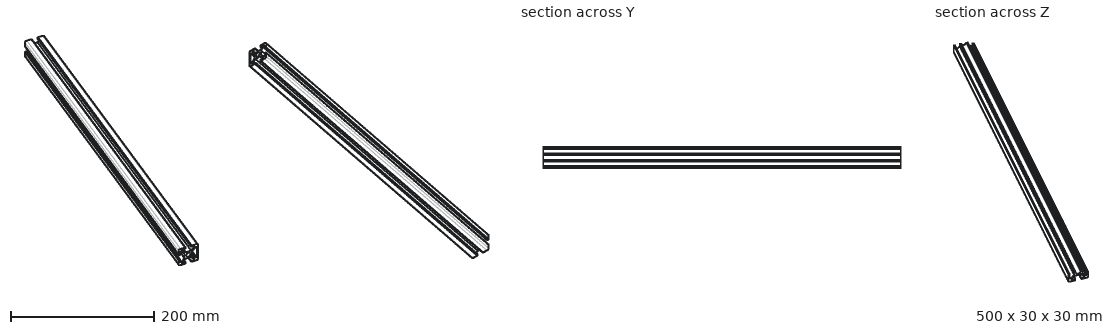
import cadquery as cq
import math

length = 500.0
side = 30.0
corner_radius = 2.75

slot_opening = 8.2
lip_thickness = 2.2
lip_chamfer = 1.0
slot_inner_width = 19.0
slot_depth = 9.0

web_thickness = 2.5
bore_diameter = 6.8

half_side = side / 2
slot_roof = half_side - lip_thickness
slot_floor = half_side - slot_depth
flank_offset = web_thickness / 2 * math.sqrt(2)

open_side_turns = (0, 90, 180)
closed_side_turn = 270


def extrude_outline(outline):
    """Prism along the whole bar from (Y, Z) points."""
    return section_plane().polyline(outline).close().extrude(length)


def section_plane():
    """Plane of the -X end face: local x is Y, local y is Z, normal is +X."""
    return cq.Workplane("YZ").workplane(offset=-length / 2)


def make_bar():
    bar = section_plane().rect(side, side).extrude(length)
    return bar.edges("|X").fillet(corner_radius)


def make_bore():
    return section_plane().circle(bore_diameter / 2).extrude(length)


def make_chamber():
    """Chamber behind the +Z side, tapering down to the core."""
    half_width = slot_inner_width / 2
    shoulder = half_width + flank_offset
    half_floor = slot_floor - flank_offset
    return extrude_outline([
        (-half_width, slot_roof),
        (-half_width, shoulder),
        (-half_floor, slot_floor),
        (half_floor, slot_floor),
        (half_width, shoulder),
        (half_width, slot_roof),
    ])


def make_mouth():
    """Opening between the lips of the +Z slot, with chamfered outer edges."""
    half_opening = slot_opening / 2
    half_entry = half_opening + lip_chamfer
    chamfer_start = half_side - lip_chamfer
    return extrude_outline([
        (-half_opening, slot_roof),
        (-half_opening, chamfer_start),
        (-half_entry, half_side),
        (half_entry, half_side),
        (half_opening, chamfer_start),
        (half_opening, slot_roof),
    ])


def turned(shape, angle):
    return shape.rotate((0, 0, 0), (1, 0, 0), angle)


result = make_bar().cut(make_bore())

for turn in (*open_side_turns, closed_side_turn):
    result = result.cut(turned(make_chamber(), turn))

for turn in open_side_turns:
    result = result.cut(turned(make_mouth(), turn))